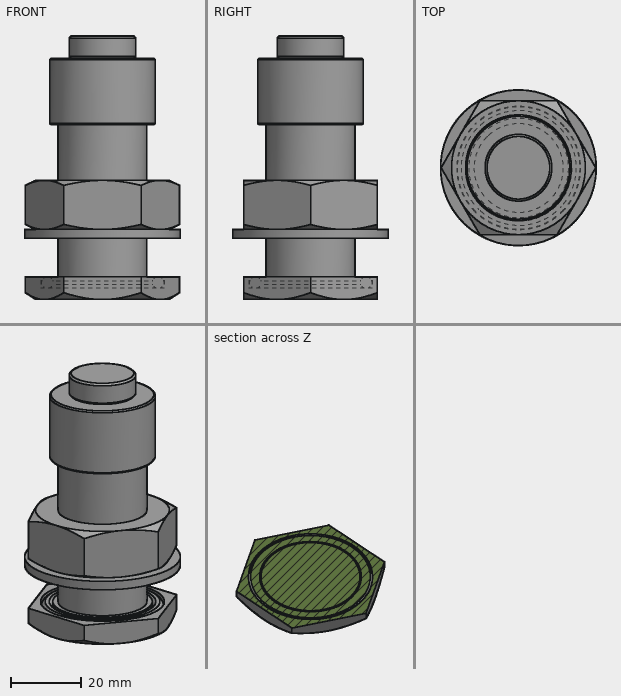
import cadquery as cq
import math

total_height = 75.1
head_top = 6.45
washer_bottom = 17.4
washer_top = 20.0
nut_top = 33.9
collar_bottom = 49.8
collar_top = 68.7

shank_diameter = 25.4
washer_diameter = 44.45
collar_diameter = 30.2
button_diameter = 19.1
across_flats = 38.1
across_corners = across_flats / math.cos(math.radians(30))

nut_corner_drop = 1.4
head_corner_drop = 1.95
button_chamfer = 0.6
collar_chamfer = 0.45

groove_inner_diameter = 28.4
groove_outer_diameter = 35.3
ring_inner_diameter = 28.2
ring_outer_diameter = 34.9
ring_flat_width = 1.2
ring_center = (ring_inner_diameter + ring_outer_diameter) / 4
ring_radius = (ring_outer_diameter - ring_inner_diameter) / 4
ring_half_height = math.sqrt(ring_radius**2 - (ring_flat_width / 2) ** 2)
groove_depth = 2 * ring_half_height


def cylinder(diameter, bottom, top):
    return cq.Workplane("XY").workplane(offset=bottom).circle(diameter / 2).extrude(top - bottom)


def hexagon(bottom, top, bottom_drop, top_drop):
    """Hexagonal prism with its corners cut by cones; each drop is measured at a corner."""
    prism = cq.Workplane("XY").workplane(offset=bottom).polygon(6, across_corners).extrude(top - bottom)
    face_radius = across_flats / 2
    corner_radius = across_corners / 2
    envelope = cq.Workplane("XZ").moveTo(0, bottom)
    envelope = envelope.lineTo(face_radius, bottom).lineTo(corner_radius, bottom + bottom_drop)
    if top_drop > 0:
        envelope = envelope.lineTo(corner_radius, top - top_drop).lineTo(face_radius, top)
    else:
        envelope = envelope.lineTo(corner_radius, top)
    envelope = envelope.lineTo(0, top).close().revolve(360, (0, 0), (0, 1))
    return prism.intersect(envelope)


def sealing_ring():
    top = head_top
    middle = top - ring_half_height
    bottom = top - groove_depth
    inner_flat = ring_center - ring_flat_width / 2
    outer_flat = ring_center + ring_flat_width / 2
    return (
        cq.Workplane("XZ")
        .moveTo(inner_flat, top)
        .lineTo(outer_flat, top)
        .threePointArc((ring_center + ring_radius, middle), (outer_flat, bottom))
        .lineTo(inner_flat, bottom)
        .threePointArc((ring_center - ring_radius, middle), (inner_flat, top))
        .close()
        .revolve(360, (0, 0), (0, 1))
    )


groove_bottom = head_top - groove_depth
groove = cylinder(groove_outer_diameter, groove_bottom, head_top).cut(
    cylinder(groove_inner_diameter, groove_bottom, head_top)
)
head = hexagon(0, head_top, head_corner_drop, 0).cut(groove).union(sealing_ring())

shank = cylinder(shank_diameter, 0, collar_bottom)
washer = cylinder(washer_diameter, washer_bottom, washer_top)
nut = hexagon(washer_top, nut_top, nut_corner_drop, nut_corner_drop)

collar = cylinder(collar_diameter, collar_bottom, collar_top).edges("%CIRCLE").chamfer(collar_chamfer)
button = cylinder(button_diameter, collar_top, total_height).edges("%CIRCLE").chamfer(button_chamfer)

result = head.union(shank).union(washer).union(nut).union(collar).union(button)